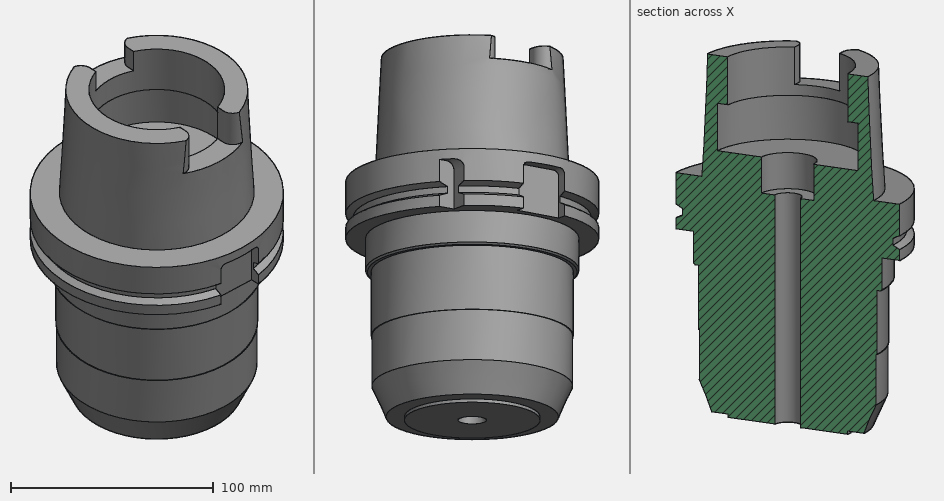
import cadquery as cq

total_height = 185.0
shank_length = 63.0
flange_thickness = 29.0
flange_top = total_height - shank_length
flange_bottom = flange_top - flange_thickness

nose_radius = 33.5
nose_height = 1.7
cone_small_radius = 42.5
cone_top = 17.4
sleeve_radius = 49.5
sleeve_top = 43.1
body_radius = 50.0
collar_radius = 52.7
collar_bottom = 76.8
collar_chamfer = 1.0

flange_radius = 62.5
groove_radius = 58.8
groove_top = flange_top - 16.3
groove_width = 7.0
groove_slope = 1.8

shank_base_radius = 48.1
shank_tip_radius = 45.0
bore_radius = 33.5
bore_depth = 24.8
chamber_radius = 39.0
chamber_depth = 48.8
counterbore_radius = 14.5
counterbore_depth = 18.5
through_radius = 7.0

slot_width = 25.0
slot_flare_radius = 6.3
slot_shoulder = 41.5
left_slot_depth = 11.8
right_slot_depth = 19.2

cutout_height = 24.0
keyway_floor = 56.2
keyway_corner_radius = 3.1
notch_floor = 40.0
notch_wall = 39.4
notch_corner_radius = 4.3


def make_body():
    """Turned outside shape, revolved about Z."""
    groove_bottom = groove_top - groove_width
    profile = [
        (0, 0),
        (nose_radius, 0),
        (nose_radius, nose_height),
        (cone_small_radius, nose_height),
        (sleeve_radius, cone_top),
        (sleeve_radius, sleeve_top),
        (body_radius, sleeve_top),
        (body_radius, collar_bottom - collar_chamfer),
        (collar_radius - collar_chamfer, collar_bottom - collar_chamfer),
        (collar_radius, collar_bottom),
        (collar_radius, flange_bottom),
        (flange_radius, flange_bottom),
        (flange_radius, groove_bottom),
        (groove_radius, groove_bottom + groove_slope),
        (groove_radius, groove_top - groove_slope),
        (flange_radius, groove_top),
        (flange_radius, flange_top),
        (shank_base_radius, flange_top),
        (shank_tip_radius, total_height),
        (0, total_height),
    ]
    return cq.Workplane("XZ").polyline(profile).close().revolve(360, (0, 0), (0, 1))


def make_bore():
    """Stepped hole right through the part, with a wider chamber below the rim bore."""
    bore_floor = total_height - bore_depth
    chamber_floor = total_height - chamber_depth
    counterbore_floor = chamber_floor - counterbore_depth
    profile = [
        (0, 0),
        (through_radius, 0),
        (through_radius, counterbore_floor),
        (counterbore_radius, counterbore_floor),
        (counterbore_radius, chamber_floor),
        (chamber_radius, chamber_floor),
        (chamber_radius, bore_floor),
        (bore_radius, bore_floor),
        (bore_radius, total_height),
        (0, total_height),
    ]
    return cq.Workplane("XZ").polyline(profile).close().revolve(360, (0, 0), (0, 1))


def make_drive_slot(side, depth):
    """Radial slot in the rim, flaring out at its mouth; side is -1 or +1 along X."""
    half_width = slot_width / 2
    flare_start = slot_shoulder - slot_flare_radius
    flare_end = half_width + slot_flare_radius
    outer_x = shank_base_radius
    outer_y = shank_base_radius
    return (
        cq.Workplane("XY", origin=(0, 0, total_height - depth))
        .moveTo(0, -half_width)
        .lineTo(side * flare_start, -half_width)
        .radiusArc((side * slot_shoulder, -flare_end), side * slot_flare_radius)
        .lineTo(side * slot_shoulder, -outer_y)
        .lineTo(side * outer_x, -outer_y)
        .lineTo(side * outer_x, outer_y)
        .lineTo(side * slot_shoulder, outer_y)
        .lineTo(side * slot_shoulder, flare_end)
        .radiusArc((side * flare_start, half_width), side * slot_flare_radius)
        .lineTo(0, half_width)
        .close()
        .extrude(depth)
    )


def make_keyway(side):
    """Flat-floored keyway with rounded upper corners; side is -1 or +1 along X."""
    depth = flange_radius - keyway_floor
    return (
        cq.Workplane("XY")
        .box(depth, slot_width, cutout_height, centered=(True, True, False))
        .edges("|X and >Z")
        .fillet(keyway_corner_radius)
        .translate((side * (keyway_floor + depth / 2), 0, flange_bottom))
    )


def make_notch():
    """Locating notch on the -X, +Y side, open outward, with one rounded corner."""
    length = flange_radius - notch_floor
    width = flange_radius - notch_wall
    return (
        cq.Workplane("XY")
        .box(length, width, cutout_height, centered=False)
        .edges("|X and >Z and <Y")
        .fillet(notch_corner_radius)
        .translate((-flange_radius, notch_wall, flange_bottom))
    )


result = make_body().cut(make_bore())
result = result.cut(make_drive_slot(-1, left_slot_depth))
result = result.cut(make_drive_slot(1, right_slot_depth))
for side in (-1, 1):
    result = result.cut(make_keyway(side))
result = result.cut(make_notch())